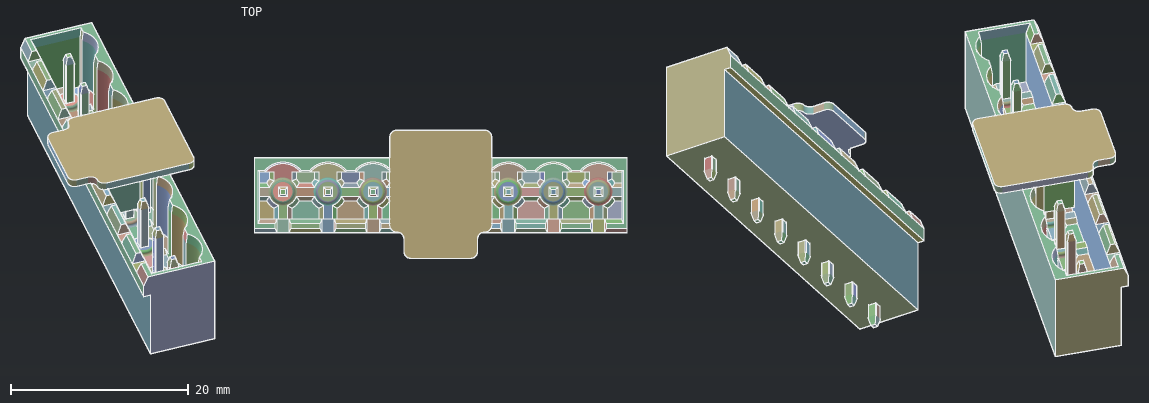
import cadquery as cq


PIN_COUNT = 8
PITCH = 5.1
PIN_XS = [(i - (PIN_COUNT - 1) / 2) * PITCH for i in range(PIN_COUNT)]

LENGTH = 42.05
DEPTH = 7.7
HEIGHT = 11.95
BACK_Y = 3.85
FRONT_Y = BACK_Y - DEPTH
END_X = LENGTH / 2

RIM_OVERHANG = 0.8
RIM_HEIGHT = 2.9
RIM_BEVEL_WIDTH = 0.5
BEVEL_HEIGHT = 1.25
RIM_Y = FRONT_Y - RIM_OVERHANG
BEVEL_Z = HEIGHT - BEVEL_HEIGHT

NOTCH_TOP_WIDTH = 1.75
NOTCH_FLOOR_WIDTH = 1.4

END_WALL = 0.6
CAVITY_BACK_Y = 2.25
CAVITY_FRONT_Y = -3.05
LEAD_IN = 0.15
FRONT_LEAD_IN = 0.5
CAVITY_END_X = END_X - END_WALL

RECESS_RADIUS = 2.55
RECESS_Y = 0.65

FLOOR_Z = 3.57
RIB_HEIGHT = 0.5
RIB_SLOPE = 0.5
RIB_WIDTH = 1.0
BACK_RIB_WIDTH = 2.0
BOSS_RADIUS = 1.35
BOSS_FILLET = 0.25
BOSS_FOOT_RADIUS = BOSS_RADIUS + BOSS_FILLET
POCKET_Z = FLOOR_Z - RIB_HEIGHT

PIN_WIDTH = 1.05
PIN_TIP_WIDTH = 0.55
PIN_TAPER = 1.0
CHAMFER_X = 0.147
CHAMFER_Y = 0.065
PIN_BELOW = 2.65
PIN_TOP_GAP = 1.1
PIN_TOP_Z = HEIGHT - PIN_TOP_GAP

PLATE_THICKNESS = 1.0
PLATE_SIZE = 11.5
PLATE_BACK_OVERHANG = 3.1
TAB_LENGTH = 3.0
PLATE_FILLET = 0.8
PLATE_BACK_Y = BACK_Y + PLATE_BACK_OVERHANG
PLATE_FRONT_Y = PLATE_BACK_Y - PLATE_SIZE
TAB_Y = PLATE_FRONT_Y - TAB_LENGTH
PLUG_DEPTH = 6.3
PLUG_WIDTH = 6.98
PLUG_FRONT_Y = -2.75
PLUG_BACK_WIDTH = 9.0
PLUG_BACK_LENGTH = 0.92
PLUG_BACK_Y = 1.98
SOCKET_CLEARANCE = 0.05


def block(x_min, x_max, y_min, y_max, z_min, z_max):
    size = (x_max - x_min, y_max - y_min, z_max - z_min)
    return cq.Workplane("XY").box(*size, centered=False).translate((x_min, y_min, z_min))


def cone(bottom_radius, top_radius, height, x, y, z):
    return cq.Workplane(cq.Solid.makeCone(bottom_radius, top_radius, height, cq.Vector(x, y, z)))


def lead_in_block():
    """Tapered mouth of the cavity, wider at the top."""
    bottom = (CAVITY_END_X, CAVITY_FRONT_Y, CAVITY_BACK_Y)
    top = (CAVITY_END_X + LEAD_IN, CAVITY_FRONT_Y - FRONT_LEAD_IN, CAVITY_BACK_Y + LEAD_IN)
    wires = []
    for (end_x, front_y, back_y), z in ((bottom, BEVEL_Z), (top, HEIGHT)):
        corners = [(-end_x, front_y), (end_x, front_y), (end_x, back_y), (-end_x, back_y)]
        wires.append(cq.Wire.makePolygon([cq.Vector(x, y, z) for x, y in corners], close=True))
    return cq.Workplane(cq.Solid.makeLoft(wires, True))


def rib(width, length):
    """Rib with sloping sides, running from the origin along +Y on the pocket floor."""
    half = width / 2
    profile = [
        (-half - RIB_SLOPE, POCKET_Z),
        (half + RIB_SLOPE, POCKET_Z),
        (half, FLOOR_Z),
        (-half, FLOOR_Z),
    ]
    return cq.Workplane("XZ").polyline(profile).close().extrude(-length)


def shell():
    """Outer block with the bevelled rim along the top of its front."""
    profile = [
        (BACK_Y, 0),
        (BACK_Y, HEIGHT),
        (RIM_Y + RIM_BEVEL_WIDTH, HEIGHT),
        (RIM_Y, BEVEL_Z),
        (RIM_Y, HEIGHT - RIM_HEIGHT),
        (FRONT_Y, HEIGHT - RIM_HEIGHT),
        (FRONT_Y, 0),
    ]
    return cq.Workplane("YZ").polyline(profile).close().extrude(END_X, both=True)


def cavity():
    """Space inside the housing above the pocket floors, with the round recesses at the back."""
    space = block(-CAVITY_END_X, CAVITY_END_X, CAVITY_FRONT_Y, CAVITY_BACK_Y, POCKET_Z, BEVEL_Z)
    space = space.union(lead_in_block())
    for x in PIN_XS:
        floor = cq.Workplane("XY", origin=(x, RECESS_Y, FLOOR_Z))
        bore = floor.circle(RECESS_RADIUS).extrude(BEVEL_Z - FLOOR_Z)
        mouth = cone(RECESS_RADIUS, RECESS_RADIUS + LEAD_IN, BEVEL_HEIGHT, x, RECESS_Y, BEVEL_Z)
        space = space.union(bore).union(mouth)
    return space


def notch(x):
    """Cutter through the front wall, narrowing towards its floor."""
    top = NOTCH_TOP_WIDTH / 2
    floor = NOTCH_FLOOR_WIDTH / 2
    profile = [(x - floor, BEVEL_Z), (x + floor, BEVEL_Z), (x + top, HEIGHT), (x - top, HEIGHT)]
    return cq.Workplane("XZ").polyline(profile).close().extrude(-RIM_Y)


def boss_cap():
    """Low round boss whose side is a hollow fillet below and a rounded edge above."""
    return (
        cq.Workplane("XZ")
        .lineTo(BOSS_FOOT_RADIUS, 0)
        .radiusArc((BOSS_RADIUS, BOSS_FILLET), BOSS_FILLET)
        .radiusArc((BOSS_RADIUS - BOSS_FILLET, 2 * BOSS_FILLET), -BOSS_FILLET)
        .lineTo(0, 2 * BOSS_FILLET)
        .close()
        .revolve(360, (0, 0), (0, 1))
    )


def raised_floor():
    """Cross rib along the pin row, and a boss with a front and a back rib at each pin."""
    cross_rib = rib(RIB_WIDTH, 2 * CAVITY_END_X).rotate((0, 0, 0), (0, 0, 1), 90)
    ribs = cross_rib.translate((CAVITY_END_X, 0, 0))
    for x in PIN_XS:
        front_rib = rib(RIB_WIDTH, -CAVITY_FRONT_Y).translate((x, CAVITY_FRONT_Y, 0))
        back_rib = rib(BACK_RIB_WIDTH, CAVITY_BACK_Y).translate((x, 0, 0))
        boss = cone(BOSS_FOOT_RADIUS + RIB_SLOPE, BOSS_FOOT_RADIUS, RIB_HEIGHT, x, 0, POCKET_Z)
        boss = boss.union(boss_cap().translate((x, 0, FLOOR_Z)))
        ribs = ribs.union(front_rib).union(back_rib).union(boss)
    return ribs


def make_housing():
    """Header housing with a hole that fits each pin."""
    body = shell().cut(cavity()).union(raised_floor())
    for x in PIN_XS:
        body = body.cut(notch(x)).cut(make_pin(x))
    return body


def make_pin(x):
    """Square pin with chamfered corners and a tapered, square point at each end."""
    shaft_bottom = PIN_TAPER - PIN_BELOW
    shaft_length = PIN_TOP_Z - PIN_TAPER - shaft_bottom
    half = PIN_WIDTH / 2
    flat_x = half - CHAMFER_X
    flat_y = half - CHAMFER_Y
    section = [
        (half, flat_y),
        (flat_x, half),
        (-flat_x, half),
        (-half, flat_y),
        (-half, -flat_y),
        (-flat_x, -half),
        (flat_x, -half),
        (half, -flat_y),
    ]
    shaft = cq.Workplane("XY").polyline(section).close().extrude(shaft_length)
    point = cq.Workplane("XY").rect(PIN_WIDTH, PIN_WIDTH).workplane(offset=PIN_TAPER)
    point = point.rect(PIN_TIP_WIDTH, PIN_TIP_WIDTH).loft()
    pin = shaft.union(point.translate((0, 0, shaft_length))).union(point.mirror("XY"))
    return pin.translate((x, 0, shaft_bottom))


def cap_plate():
    """Square plate whose front corners sweep in an S-curve to a narrower tab."""
    half = PLATE_SIZE / 2
    r = PLATE_FILLET
    tab_half = half - 2 * r
    return (
        cq.Workplane("XY", origin=(0, 0, HEIGHT))
        .moveTo(0, PLATE_BACK_Y)
        .lineTo(half - r, PLATE_BACK_Y)
        .radiusArc((half, PLATE_BACK_Y - r), r)
        .lineTo(half, PLATE_FRONT_Y + r)
        .radiusArc((half - r, PLATE_FRONT_Y), r)
        .radiusArc((tab_half, PLATE_FRONT_Y - r), -r)
        .lineTo(tab_half, TAB_Y + r)
        .radiusArc((tab_half - r, TAB_Y), r)
        .lineTo(0, TAB_Y)
        .mirrorY()
        .extrude(PLATE_THICKNESS)
    )


def make_cap():
    """Pick-up cap with sockets that clear the pins under it."""
    plug_z = HEIGHT - PLUG_DEPTH
    narrow = block(-PLUG_WIDTH / 2, PLUG_WIDTH / 2, PLUG_FRONT_Y, PLUG_BACK_Y, plug_z, HEIGHT)
    step_y = PLUG_BACK_Y - PLUG_BACK_LENGTH
    wide = block(-PLUG_BACK_WIDTH / 2, PLUG_BACK_WIDTH / 2, step_y, PLUG_BACK_Y, plug_z, HEIGHT)
    cap = cap_plate().union(narrow).union(wide)
    half = PIN_WIDTH / 2 + SOCKET_CLEARANCE
    for x in PIN_XS:
        if abs(x) < PITCH:
            cap = cap.cut(block(x - half, x + half, -half, half, plug_z, PIN_TOP_Z))
    return cap


housing = make_housing()
cap = make_cap()
pins = [make_pin(x) for x in PIN_XS]
result = cq.Compound.makeCompound([housing.val(), cap.val(), *[pin.val() for pin in pins]])